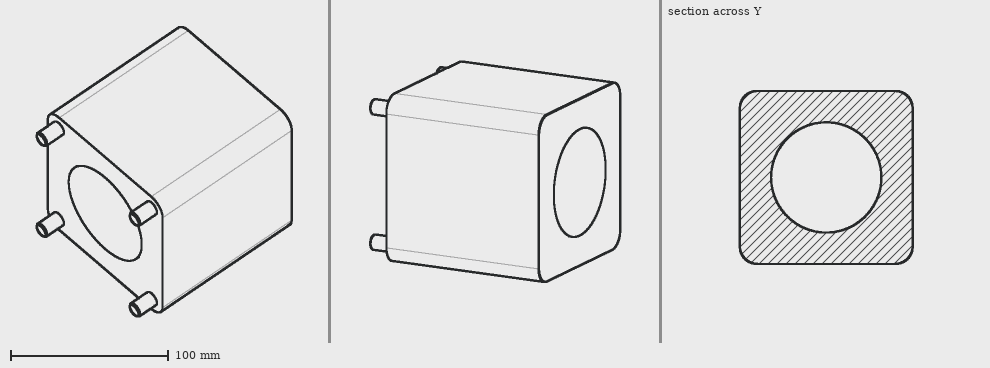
import cadquery as cq

body_side = 110.0
body_length = 110.0
corner_radius = 11.0
rear_chamfer = 0.3
bore_diameter = 70.0
pin_diameter = 10.0
pin_length = 15.0
pin_chamfer = 0.8
pin_pitch = 89.0


def make_body():
    """Rounded square block along Y, front face at Y = 0, with a chamfered rear rim and a through bore."""
    block = (
        cq.Workplane("XZ")
        .rect(body_side, body_side)
        .extrude(-body_length)
        .edges("|Y")
        .fillet(corner_radius)
        .faces(">Y")
        .chamfer(rear_chamfer)
    )
    return block.faces("<Y").workplane().hole(bore_diameter)


def make_pins():
    """Four pins standing on the front face, with chamfered free ends."""
    return (
        cq.Workplane("XZ")
        .rect(pin_pitch, pin_pitch, forConstruction=True)
        .vertices()
        .circle(pin_diameter / 2)
        .extrude(pin_length)
        .faces("<Y")
        .chamfer(pin_chamfer)
    )


result = make_body().union(make_pins())